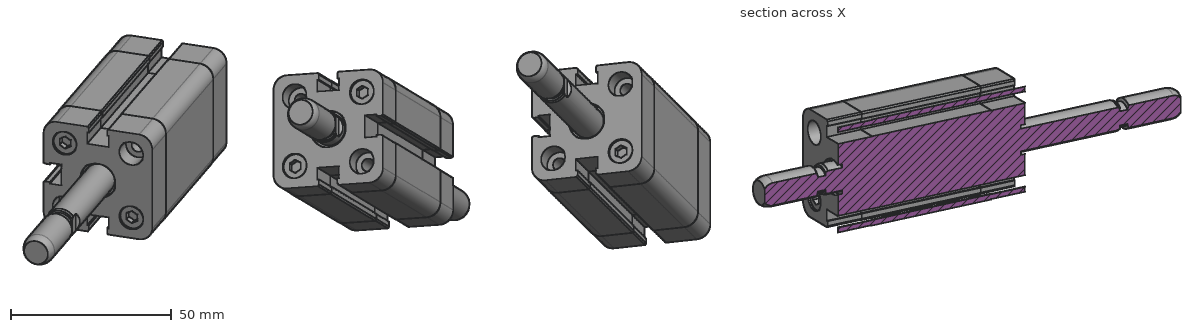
import cadquery as cq
import math

LENGTH = 151.0
BODY_SIZE = 36.1
BODY_LENGTH = 68.0
FRONT_ROD_LENGTH = 56.5
FRONT_END = -LENGTH / 2
BACK_END = LENGTH / 2
BODY_FRONT = FRONT_END + FRONT_ROD_LENGTH
BODY_CENTRE = BODY_FRONT + BODY_LENGTH / 2

CAP_LENGTH = 12.4
CORNER_RADIUS = 4.5
CAP_INSET = 0.08

SLOT_DEPTH = 5.9
SLOT_WIDTH = 7.0
LIP_WIDTH = 5.9
MOUTH_WIDTH = 6.6
LIP_DEPTH = 2.3
FLARE_DEPTH = 0.6
SLOT_ANGLES = (0, -90, 180)

FIXING_SPACING = 22.0
HOLE_DIAMETER = 4.1
COUNTERBORE_DIAMETER = 7.9
COUNTERBORE_DEPTH = 6.0
SCREW_HEAD_DIAMETER = 7.5
SCREW_RECESS = 0.6
HEX_ACROSS_FLATS = 3.6
HEX_DEPTH = 2.3
HEX_SIDES = 6

ROD_DIAMETER = 10.0
ROD_BORE_DIAMETER = 11.6
ROD_BORE_DEPTH = 1.5
TIP_DIAMETER = 7.9
TIP_LENGTH = 2.9
THREAD_LENGTH = 19.0
NECK_DIAMETER = 8.0
NECK_CHAMFER_LENGTH = 0.5
NECK_END = 22.0
SHOULDER_DROP = 0.3
SHOULDER_LENGTH = 0.9
FLAT_DISTANCE = NECK_DIAMETER
FLAT_LENGTH = 3.2
CUT_CLEARANCE = 1.5


def cylinder(diameter, length):
    """Round bar from the origin along +Y."""
    return cq.Workplane("XZ").circle(diameter / 2).extrude(-length)


def slot_profile():
    """Closed outline of one slot that opens upwards, in the XZ plane."""
    face = BODY_SIZE / 2
    right_side = [
        (MOUTH_WIDTH / 2, face),
        (LIP_WIDTH / 2, face - FLARE_DEPTH),
        (LIP_WIDTH / 2, face - LIP_DEPTH),
        (SLOT_WIDTH / 2, face - LIP_DEPTH),
        (SLOT_WIDTH / 2, face - SLOT_DEPTH),
    ]
    left_side = [(-x, z) for x, z in reversed(right_side)]
    return cq.Workplane("XZ").polyline(right_side + left_side).close()


def body_bar(length, inset):
    """Slotted square bar centred on the origin; every outer and slot face is set in by the inset."""
    size = BODY_SIZE - 2 * inset
    bar = cq.Workplane("XY").box(size, length, size).edges("|Y").fillet(CORNER_RADIUS - inset)
    slot = slot_profile()
    if inset > 0:
        slot = slot.offset2D(inset, "intersection")
    slot = slot.extrude(length, both=True)
    for angle in SLOT_ANGLES:
        bar = bar.cut(slot.rotate((0, 0, 0), (0, 1, 0), angle))
    return bar


def body():
    """Barrel and end caps, centred on the origin."""
    cap_shift = (BODY_LENGTH - CAP_LENGTH) / 2
    cap = body_bar(CAP_LENGTH, CAP_INSET)
    barrel = body_bar(BODY_LENGTH - 2 * CAP_LENGTH, 0)
    return barrel.union(cap.translate((0, -cap_shift, 0))).union(cap.translate((0, cap_shift, 0)))


def screw_head():
    """Hex socket screw head that starts at the origin and fills its counterbore along +Y."""
    head = cylinder(SCREW_HEAD_DIAMETER, COUNTERBORE_DEPTH - SCREW_RECESS)
    across_corners = HEX_ACROSS_FLATS / math.cos(math.pi / HEX_SIDES)
    socket = cq.Workplane("XZ").polygon(HEX_SIDES, across_corners).extrude(-HEX_DEPTH)
    return head.cut(socket.rotate((0, 0, 0), (0, 1, 0), 90))


def flat_cutter(side):
    """Wrench flat on one side of the rod, running out at 45 degrees away from the neck."""
    flat = FLAT_DISTANCE / 2
    outer = ROD_DIAMETER / 2 + CUT_CLEARANCE
    flat_end = NECK_END + FLAT_LENGTH
    outline = [
        (side * flat, NECK_END),
        (side * flat, flat_end),
        (side * outer, flat_end + outer - flat),
        (side * outer, NECK_END),
    ]
    return cq.Workplane("XY").polyline(outline).close().extrude(ROD_DIAMETER, both=True)


def rod_end(length):
    """Piece of rod from its rounded tip at the origin along +Y, with thread, neck and wrench flats."""
    radius = ROD_DIAMETER / 2
    neck_radius = NECK_DIAMETER / 2
    tip_radius = TIP_DIAMETER / 2
    tip_drop = radius - tip_radius
    arc_radius = (tip_drop**2 + TIP_LENGTH**2) / (2 * tip_drop)
    rod = (
        cq.Workplane("XY")
        .lineTo(tip_radius, 0)
        .radiusArc((radius, TIP_LENGTH), -arc_radius)
        .lineTo(radius, THREAD_LENGTH)
        .lineTo(neck_radius, THREAD_LENGTH + NECK_CHAMFER_LENGTH)
        .lineTo(neck_radius, NECK_END)
        .lineTo(radius - SHOULDER_DROP, NECK_END)
        .lineTo(radius, NECK_END + SHOULDER_LENGTH)
        .lineTo(radius, length)
        .lineTo(0, length)
        .close()
        .revolve(360, (0, 0, 0), (0, 1, 0))
    )
    for side in (1, -1):
        rod = rod.cut(flat_cutter(side))
    return rod


def machined_body():
    """Body with the rod bores, mounting holes and cap screws, alike at both ends."""
    half = BODY_LENGTH / 2
    offset = FIXING_SPACING / 2
    screws = [(-offset, offset), (offset, -offset)]
    holes = [(offset, offset), (-offset, -offset)]
    part = body()
    for x, z in holes:
        part = part.cut(cylinder(HOLE_DIAMETER, BODY_LENGTH).translate((x, -half, z)))
    front_cut = cylinder(ROD_BORE_DIAMETER, ROD_BORE_DEPTH).translate((0, -half, 0))
    for x, z in holes + screws:
        counterbore = cylinder(COUNTERBORE_DIAMETER, COUNTERBORE_DEPTH)
        front_cut = front_cut.union(counterbore.translate((x, -half, z)))
    for x, z in screws:
        front_cut = front_cut.cut(screw_head().translate((x, SCREW_RECESS - half, z)))
    return part.cut(front_cut).cut(front_cut.mirror("XZ"))


front_rod = rod_end(BODY_CENTRE - FRONT_END).translate((0, FRONT_END, 0))
back_rod = rod_end(BACK_END - BODY_CENTRE).mirror("XZ").translate((0, BACK_END, 0))
result = machined_body().translate((0, BODY_CENTRE, 0)).union(front_rod).union(back_rod)